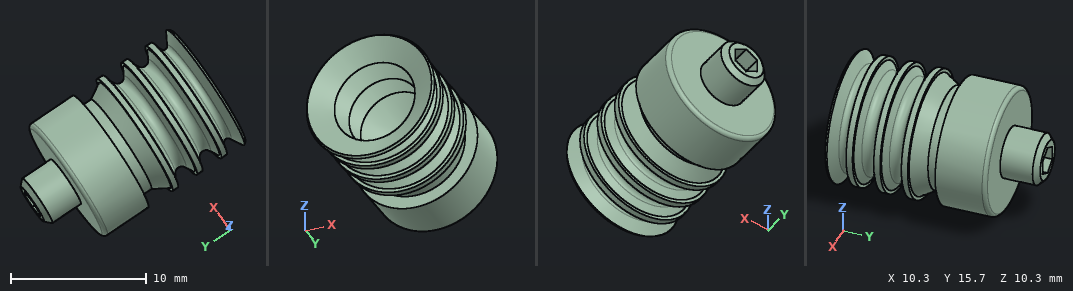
import cadquery as cq
import math

total_length = 15.7
ring_radius = 5.0
ring_width = 0.5
ring_pitch = 2.18
first_ring_start = 1.66
ring_count = 3
ring_step_radius = 4.71
wall_slope = math.tan(math.radians(30))

lip_radius = 5.142
lip_edge_height = 0.2
lip_groove_radius = 4.0
groove_radius = 3.8

neck_radius = 4.0
body_start = 8.7
body_end = 12.7
body_round = 0.31
pin_radius = 2.002
pin_chamfer = 0.44

mouth_throat_radius = 3.23
inner_throat_radius = 2.9
pocket_radius = 4.79
hex_across_flats = 2.0


def add_groove(profile, start_radius, start_y, end_y, bottom_radius):
    """Add a V groove with 30 degree walls and a rounded bottom up to the next ring side."""
    sharp_radius = (
        start_radius + ring_step_radius - (end_y - start_y) / wall_slope
    ) / 2
    sharp_y = start_y + (start_radius - sharp_radius) * wall_slope
    arc_radius = bottom_radius - sharp_radius
    tangent_radius = sharp_radius + 1.5 * arc_radius
    half_height = arc_radius * math.sin(math.radians(60))
    return (
        profile.lineTo(tangent_radius, sharp_y - half_height)
        .threePointArc((bottom_radius, sharp_y), (tangent_radius, sharp_y + half_height))
        .lineTo(ring_step_radius, end_y)
    )


def add_ring(profile, start_y):
    """Add the flat-sided rim of one bellows ring."""
    end_y = start_y + ring_width
    return (
        profile.lineTo(ring_radius, start_y)
        .lineTo(ring_radius, end_y)
        .lineTo(ring_step_radius, end_y)
    )


def make_outside():
    """Revolve the solid outer shape about Y."""
    profile = (
        cq.Workplane("XY")
        .lineTo(ring_radius, 0)
        .lineTo(lip_radius, lip_edge_height)
    )
    profile = add_groove(
        profile, lip_radius, lip_edge_height, first_ring_start, lip_groove_radius
    )
    for index in range(ring_count):
        ring_start = first_ring_start + index * ring_pitch
        profile = add_ring(profile, ring_start)
        if index < ring_count - 1:
            profile = add_groove(
                profile,
                ring_step_radius,
                ring_start + ring_width,
                ring_start + ring_pitch,
                groove_radius,
            )
    last_ring_end = first_ring_start + (ring_count - 1) * ring_pitch + ring_width
    neck_start = last_ring_end + (ring_step_radius - neck_radius) / wall_slope
    arc_offset = body_round * (1 - math.sqrt(0.5))
    profile = (
        profile.lineTo(neck_radius, neck_start)
        .lineTo(neck_radius, body_start)
        .lineTo(ring_radius, body_start)
        .lineTo(ring_radius, body_end - body_round)
        .threePointArc(
            (ring_radius - arc_offset, body_end - arc_offset),
            (ring_radius - body_round, body_end),
        )
        .lineTo(pin_radius, body_end)
        .lineTo(pin_radius, total_length - pin_chamfer)
        .lineTo(pin_radius - pin_chamfer, total_length)
        .lineTo(0, total_length)
        .close()
    )
    return profile.revolve(360, (0, 0, 0), (0, 1, 0))


def make_cavity():
    """Revolve the flared mouth and the bellows hollows, all with 30 degree walls."""
    throat_radii = [mouth_throat_radius] + [inner_throat_radius] * (ring_count - 1)
    profile = cq.Workplane("XY").lineTo(ring_radius, 0)
    for index, throat_radius in enumerate(throat_radii):
        pocket_y = first_ring_start + ring_width / 2 + index * ring_pitch
        throat_y = pocket_y - (pocket_radius - throat_radius) * wall_slope
        profile = profile.lineTo(throat_radius, throat_y).lineTo(pocket_radius, pocket_y)
    floor_tip = pocket_y + pocket_radius * wall_slope
    return profile.lineTo(0, floor_tip).close().revolve(360, (0, 0, 0), (0, 1, 0))


def make_hex_passage():
    """Make the hexagonal through hole with two corners pointing along Z."""
    return (
        cq.Workplane("XZ")
        .polygon(6, hex_across_flats / math.cos(math.radians(30)))
        .extrude(-total_length)
        .rotate((0, 0, 0), (0, 1, 0), 30)
    )


result = make_outside().cut(make_cavity()).cut(make_hex_passage())